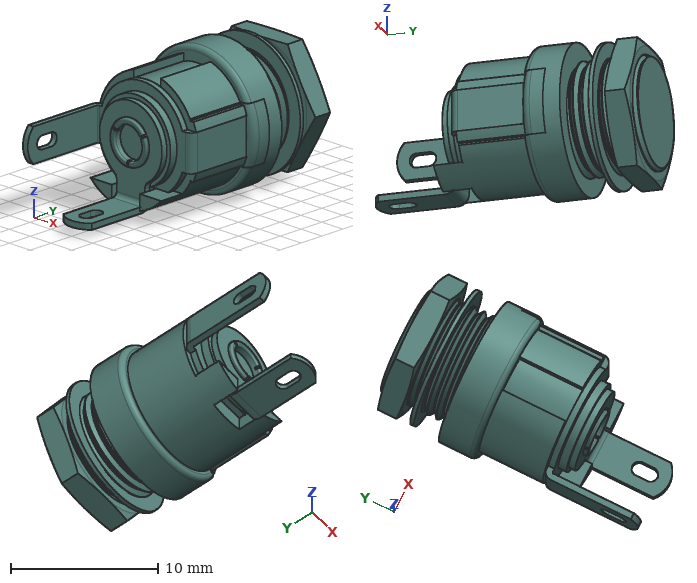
import cadquery as cq
import math


OVERALL_LENGTH = 19.93
TIP_Y = 0.0
NUT_FRONT_Y = TIP_Y - 0.3
WASHER_FRONT_Y = TIP_Y - 2.8
FLANGE_FRONT_Y = TIP_Y - 5.08
FLANGE_LENGTH = 2.8
FLANGE_REAR_Y = FLANGE_FRONT_Y - FLANGE_LENGTH
REAR_BODY_LENGTH = 4.82
BODY_END_Y = FLANGE_REAR_Y - REAR_BODY_LENGTH
TERMINAL_THICKNESS = 0.48
SLEEVE_PLATE_END_Y = BODY_END_Y - TERMINAL_THICKNESS
INSULATOR_THICKNESS = 0.62
INSULATOR_END_Y = SLEEVE_PLATE_END_Y - INSULATOR_THICKNESS
PIN_PLATE_END_Y = INSULATOR_END_Y - TERMINAL_THICKNESS
TERMINAL_END_Y = TIP_Y - OVERALL_LENGTH

FLANGE_RADIUS = 5.32
FLANGE_FILLET = 0.4

BODY_RADIUS = 4.7
TOP_GROOVE_WIDTH = 2.6
TOP_GROOVE_FLOOR_RADIUS = 4.13
LEDGE_TOP_Z = -3.27
LEDGE_LENGTH = 2.05

THREAD_RADIUS = 4.0
THREAD_ROOT_RADIUS = 3.65
THREAD_PITCH = 0.7
THREAD_BASE_RADIUS = 3.59
THREAD_BASE_WIDTH = 0.68
THREAD_CREST_WIDTH = 0.05
THREAD_START_Y = TIP_Y + 1.0
THREAD_LENGTH = THREAD_START_Y - FLANGE_FRONT_Y + THREAD_PITCH
BARREL_BLANK_FRONT_Y = TIP_Y + 2.0
BARREL_BLANK_LENGTH = 8.97
BARREL_SEAM_ANGLE = 47.0

NUT_CORNER_RADIUS = FLANGE_RADIUS
NUT_THICKNESS = 1.7
NUT_BEVEL_HEIGHT = 0.14
WASHER_RADIUS = 5.1
WASHER_THICKNESS = 0.3

SIDE_FLAT_X = 4.1
KEY_HEAD_WIDTH = 4.62
KEY_HEAD_LENGTH = 1.6
KEY_HEAD_FILLET = 0.6
KEY_HEAD_FRONT_Y = FLANGE_REAR_Y + KEY_HEAD_LENGTH
KEY_HEAD_Y_RANGE = (FLANGE_REAR_Y, KEY_HEAD_FRONT_Y)
KEY_RIB_WIDTH = 4.32
KEY_RIB_RADIUS = FLANGE_RADIUS - FLANGE_FILLET

TAB_WIDTH = 2.71
TAB_OUTER_OFFSET = BODY_RADIUS
TAB_SHOULDER = 0.54
TAB_SLOT_WIDTH = 1.02
TAB_SLOT_LENGTH = 1.9
TAB_SLOT_CENTRE_Y = TERMINAL_END_Y + 1.85
SLEEVE_PLATE_RADIUS = TOP_GROOVE_FLOOR_RADIUS
SLEEVE_BEND_INNER_RADIUS = 0.1
EAR_WIDTH = 2.95
INSULATOR_RADIUS = 3.33
PIN_PLATE_RADIUS = 2.99
PIN_BEND_INNER_RADIUS = 0.35
PIN_NECK_FILLET = 0.6
NECK_SEARCH_MARGIN = 0.2

RIVET_RADIUS = 1.77
RIVET_BORE_RADIUS = 1.3
RIVET_SHANK_RADIUS = 1.5
RIVET_LIP_HEIGHT = 0.3
RIVET_OUTER_ROUNDING = 0.18
RIVET_MOUTH_ROUNDING = 0.15
RIVET_BORE_DEPTH = 0.6
RIVET_SLIT_WIDTH = 0.15
RIVET_SLIT_COUNT = 3
RIVET_END_Y = PIN_PLATE_END_Y - RIVET_LIP_HEIGHT


def disc(radius, front_y, length):
    """A cylinder on the Y axis that runs from front_y toward -Y."""
    return cq.Workplane("XZ", origin=(0, front_y, 0)).circle(radius).extrude(length)


def block(x_range, y_range, z_range):
    """An axis-aligned block between three pairs of limits."""
    sizes = [high - low for low, high in (x_range, y_range, z_range)]
    corner = (x_range[0], y_range[0], z_range[0])
    return cq.Workplane("XY", origin=corner).box(*sizes, centered=False)


def flange_disc(fillet):
    """The full flange with its rear rim rounded."""
    return disc(FLANGE_RADIUS, FLANGE_FRONT_Y, FLANGE_LENGTH).faces("<Y").edges().fillet(fillet)


def threaded_barrel():
    """Barrel with a right-handed helical thread, made overlong and trimmed to length."""
    overlong = disc(THREAD_ROOT_RADIUS, BARREL_BLANK_FRONT_Y, BARREL_BLANK_LENGTH)
    overlong = overlong.rotate((0, 0, 0), (0, 1, 0), BARREL_SEAM_ANGLE)

    path = cq.Wire.makeHelix(THREAD_PITCH, THREAD_LENGTH, THREAD_BASE_RADIUS)
    half_base = THREAD_BASE_WIDTH / 2
    half_crest = THREAD_CREST_WIDTH / 2
    ridge = (
        cq.Workplane("XZ")
        .polyline([
            (THREAD_BASE_RADIUS, -half_base),
            (THREAD_RADIUS, -half_crest),
            (THREAD_RADIUS, half_crest),
            (THREAD_BASE_RADIUS, half_base),
        ])
        .close()
        .sweep(cq.Workplane(obj=path), isFrenet=True)
        .rotate((0, 0, 0), (1, 0, 0), 90)
        .translate((0, THREAD_START_Y, 0))
    )
    return overlong.union(ridge).intersect(disc(FLANGE_RADIUS, TIP_Y, TIP_Y - FLANGE_FRONT_Y))


def key_slab(width, y_range):
    """Block on the +X side, outside the side flat, that bounds a part of the key."""
    return block((SIDE_FLAT_X, FLANGE_RADIUS), y_range, (-width / 2, width / 2))


def make_bushing():
    """Threaded barrel and flange, with a notch in the flange for the key of the housing."""
    flange = flange_disc(FLANGE_FILLET)
    notch = key_slab(KEY_HEAD_WIDTH, KEY_HEAD_Y_RANGE)
    return flange.cut(notch).union(threaded_barrel())


def rear_body():
    """Cylinder behind the flange with a groove on top and a flat on the +X side."""
    y_range = (BODY_END_Y, FLANGE_REAR_Y)
    half_groove = TOP_GROOVE_WIDTH / 2
    groove = block((-half_groove, half_groove), y_range, (0, BODY_RADIUS))
    groove = groove.cut(disc(TOP_GROOVE_FLOOR_RADIUS, FLANGE_REAR_Y, REAR_BODY_LENGTH))
    body = disc(BODY_RADIUS, FLANGE_REAR_Y, REAR_BODY_LENGTH).cut(groove)
    return body.cut(key_slab(2 * FLANGE_RADIUS, y_range))


def ledge():
    """Ledge at the bottom of the body end, notched for the tab of the pin terminal."""
    y_range = (BODY_END_Y - LEDGE_LENGTH, BODY_END_Y)
    below = block((-BODY_RADIUS, BODY_RADIUS), y_range, (-BODY_RADIUS, LEDGE_TOP_Z))
    tab_notch = block((-TAB_WIDTH / 2, TAB_WIDTH / 2), y_range, (-BODY_RADIUS, 0))
    return disc(BODY_RADIUS, BODY_END_Y, LEDGE_LENGTH).intersect(below).cut(tab_notch)


def key():
    """Head that fills the flange notch, and a rib along the body with a channel for the ear."""
    head = flange_disc(KEY_HEAD_FILLET).intersect(key_slab(KEY_HEAD_WIDTH, KEY_HEAD_Y_RANGE))
    rib_y_range = (BODY_END_Y, KEY_HEAD_FRONT_Y)
    rib = disc(KEY_RIB_RADIUS, KEY_HEAD_FRONT_Y, KEY_HEAD_FRONT_Y - BODY_END_Y)
    rib = rib.intersect(key_slab(KEY_RIB_WIDTH, rib_y_range))
    ear_channel = block(
        (TAB_OUTER_OFFSET - TERMINAL_THICKNESS, FLANGE_RADIUS),
        rib_y_range,
        (-EAR_WIDTH / 2, EAR_WIDTH / 2),
    )
    return head.union(rib.cut(ear_channel))


def make_housing(sleeve_terminal):
    """Rear body, ledge and key in one, relieved where the ear of the sleeve terminal bends."""
    return rear_body().union(ledge()).union(key()).cut(sleeve_terminal)


def make_nut():
    """Hexagon nut with corners on X, bevelled on both faces and bored to the thread crests."""
    flat_radius = NUT_CORNER_RADIUS * math.cos(math.radians(30))
    hexagon = (
        cq.Workplane("XZ", origin=(0, NUT_FRONT_Y, 0))
        .polygon(6, 2 * NUT_CORNER_RADIUS)
        .extrude(NUT_THICKNESS)
    )
    rear_y = NUT_FRONT_Y - NUT_THICKNESS
    bevelled_envelope = (
        cq.Workplane("XY")
        .polyline([
            (0, NUT_FRONT_Y),
            (flat_radius, NUT_FRONT_Y),
            (NUT_CORNER_RADIUS, NUT_FRONT_Y - NUT_BEVEL_HEIGHT),
            (NUT_CORNER_RADIUS, rear_y + NUT_BEVEL_HEIGHT),
            (flat_radius, rear_y),
            (0, rear_y),
        ])
        .close()
        .revolve(360, (0, 0, 0), (0, 1, 0))
    )
    bore = disc(THREAD_RADIUS, NUT_FRONT_Y, NUT_THICKNESS)
    return hexagon.intersect(bevelled_envelope).cut(bore)


def make_washer():
    """Flat washer that fits over the thread crests."""
    bore = disc(THREAD_RADIUS, WASHER_FRONT_Y, WASHER_THICKNESS)
    return disc(WASHER_RADIUS, WASHER_FRONT_Y, WASHER_THICKNESS).cut(bore)


def bent_strip(root, face_y, bend_inner_radius, tip_y, width):
    """Strip that leaves a plate outward along X and bends to run along Y to tip_y.

    The plate's near face, the one on the inside of the bend, is at face_y.
    The strip is cut off at X = root, inside the plate.
    """
    direction = math.copysign(1, tip_y - face_y)
    far_y = face_y - direction * TERMINAL_THICKNESS
    bend_outer_radius = bend_inner_radius + TERMINAL_THICKNESS
    outer_x = TAB_OUTER_OFFSET
    inner_x = outer_x - TERMINAL_THICKNESS
    bend_x = outer_x - bend_outer_radius
    bend_y = face_y + direction * bend_inner_radius
    diagonal = math.sqrt(0.5)

    def bend_middle(radius):
        return (bend_x + diagonal * radius, bend_y - direction * diagonal * radius)

    return (
        cq.Workplane("XY", origin=(0, 0, -width / 2))
        .moveTo(root, far_y)
        .lineTo(bend_x, far_y)
        .threePointArc(bend_middle(bend_outer_radius), (outer_x, bend_y))
        .lineTo(outer_x, tip_y)
        .lineTo(inner_x, tip_y)
        .lineTo(inner_x, bend_y)
        .threePointArc(bend_middle(bend_inner_radius), (bend_x, face_y))
        .lineTo(root, face_y)
        .close()
        .extrude(width)
    )


def solder_tab(root, face_y, bend_inner_radius):
    """Bent strip on the +X side with a rounded end and a slot for a wire."""
    strip = bent_strip(root, face_y, bend_inner_radius, TERMINAL_END_Y, TAB_WIDTH)
    half_width = TAB_WIDTH / 2
    shoulder_y = TERMINAL_END_Y + TAB_SHOULDER
    outline = (
        cq.Workplane("YZ")
        .moveTo(BODY_END_Y, -half_width)
        .lineTo(shoulder_y, -half_width)
        .threePointArc((TERMINAL_END_Y, 0), (shoulder_y, half_width))
        .lineTo(BODY_END_Y, half_width)
        .close()
        .extrude(FLANGE_RADIUS)
    )
    wire_slot = (
        cq.Workplane("YZ", origin=(0, TAB_SLOT_CENTRE_Y, 0))
        .slot2D(TAB_SLOT_LENGTH, TAB_SLOT_WIDTH)
        .extrude(FLANGE_RADIUS)
    )
    return strip.intersect(outline).cut(wire_slot)


def make_sleeve_terminal():
    """Plate against the housing with a solder tab on -X and an ear along the housing on +X."""
    plate_y = (SLEEVE_PLATE_END_Y, BODY_END_Y)
    plate = disc(SLEEVE_PLATE_RADIUS, BODY_END_Y, TERMINAL_THICKNESS).intersect(
        block((-SIDE_FLAT_X, SIDE_FLAT_X), plate_y, (LEDGE_TOP_Z, SLEEVE_PLATE_RADIUS))
    )
    tab = solder_tab(INSULATOR_RADIUS, SLEEVE_PLATE_END_Y, SLEEVE_BEND_INNER_RADIUS)
    tab = tab.rotate((0, 0, 0), (0, 1, 0), 180)
    ear = bent_strip(INSULATOR_RADIUS, BODY_END_Y, SLEEVE_BEND_INNER_RADIUS, FLANGE_REAR_Y, EAR_WIDTH)
    return plate.union(tab).union(ear)


def rivet_shank():
    """Solid shank that passes through the pin terminal and the insulator."""
    return disc(RIVET_SHANK_RADIUS, SLEEVE_PLATE_END_Y, SLEEVE_PLATE_END_Y - PIN_PLATE_END_Y)


def make_insulator():
    """Disc between the two terminal plates, with a hole for the rivet."""
    return disc(INSULATOR_RADIUS, SLEEVE_PLATE_END_Y, INSULATOR_THICKNESS).cut(rivet_shank())


def make_pin_terminal():
    """Round plate whose arm runs down and bends into a solder tab below the axis."""
    half_width = TAB_WIDTH / 2
    arm_bottom_z = -(TAB_OUTER_OFFSET - TERMINAL_THICKNESS - PIN_BEND_INNER_RADIUS)
    plate_y = (PIN_PLATE_END_Y, INSULATOR_END_Y)
    arm = block((-half_width, half_width), plate_y, (arm_bottom_z, 0))
    neck_z = -math.sqrt(PIN_PLATE_RADIUS**2 - half_width**2)
    plate = disc(PIN_PLATE_RADIUS, INSULATOR_END_Y, TERMINAL_THICKNESS).union(arm)
    neck_edges = cq.selectors.BoxSelector(
        (-half_width - NECK_SEARCH_MARGIN, PIN_PLATE_END_Y, neck_z - NECK_SEARCH_MARGIN),
        (half_width + NECK_SEARCH_MARGIN, INSULATOR_END_Y, neck_z + NECK_SEARCH_MARGIN),
    )
    plate = plate.edges("|Y").edges(neck_edges).fillet(PIN_NECK_FILLET)
    tab = solder_tab(PIN_PLATE_RADIUS, PIN_PLATE_END_Y, PIN_BEND_INNER_RADIUS)
    return plate.union(tab.rotate((0, 0, 0), (0, 1, 0), 90)).cut(rivet_shank())


def make_rivet():
    """Rivet with a blind bore and a rolled lip that is split by radial slits."""
    lip = disc(RIVET_RADIUS, PIN_PLATE_END_Y, RIVET_LIP_HEIGHT)
    lip = lip.faces("<Y").edges().fillet(RIVET_OUTER_ROUNDING)
    bore = disc(RIVET_BORE_RADIUS, RIVET_END_Y + RIVET_BORE_DEPTH, RIVET_BORE_DEPTH)
    rivet = lip.union(rivet_shank()).cut(bore)
    mouth = cq.selectors.RadiusNthSelector(0)
    rivet = rivet.faces("<Y").edges(mouth).fillet(RIVET_MOUTH_ROUNDING)

    half_slit = RIVET_SLIT_WIDTH / 2
    slit = block((-half_slit, half_slit), (RIVET_END_Y, PIN_PLATE_END_Y), (-FLANGE_RADIUS, 0))
    for index in range(RIVET_SLIT_COUNT):
        rivet = rivet.cut(slit.rotate((0, 0, 0), (0, 1, 0), index * 360 / RIVET_SLIT_COUNT))
    return rivet


sleeve_terminal = make_sleeve_terminal()
result = cq.Compound.makeCompound([
    make_bushing().val(),
    make_housing(sleeve_terminal).val(),
    make_nut().val(),
    make_washer().val(),
    sleeve_terminal.val(),
    make_insulator().val(),
    make_pin_terminal().val(),
    make_rivet().val(),
])